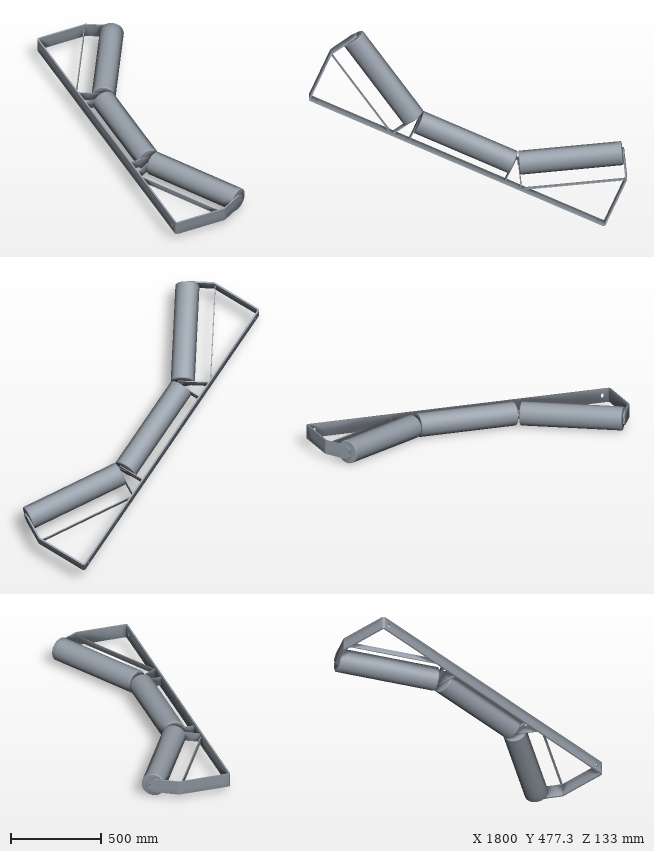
import cadquery as cq
import math

frame_length = 1800.0
frame_height = 80.0
plate = 9.0
thin_plate = 5.0
corner_radius = 15.0
lean_radius = 10.0
trough_angle = 30.0
roller_diameter = 133.0
roller_length = 572.0
roller_edge = 6.3
roller_gap = 2.0
center_axis_y = 125.0
side_roller_x = 569.0
side_roller_y = 279.0
tang_width = 16.0
tang_depth = 20.0
frame_tip = 27.0
tip_chamfer_length = 32.0
tip_chamfer_height = 18.0
hole_length = 27.0
hole_width = 18.0
hole_x = 853.0
bracket_top_y = 157.0
bracket_height = 50.0
brace_height = 30.0
brace_top_y = 292.0

half_length = frame_length / 2
angle = math.radians(trough_angle)
roller_radius = roller_diameter / 2
inner_face = roller_length / 2 + roller_gap
outer_face = inner_face + plate


def on_side_roller(along, across):
    """Point measured along the right side roller's axis (outwards) and across it (upwards)."""
    return (
        side_roller_x + along * math.cos(angle) - across * math.sin(angle),
        side_roller_y + along * math.sin(angle) + across * math.cos(angle),
    )


def plane_at_y(along, y):
    """Point at height y on the plane square to the right side roller's axis at `along`."""
    axis_x, axis_y = on_side_roller(along, 0)
    return (axis_x - (y - axis_y) * math.tan(angle), y)


def plane_at_x(along, x):
    """Point at position x on the plane square to the right side roller's axis at `along`."""
    axis_x, axis_y = on_side_roller(along, 0)
    return (x, axis_y + (axis_x - x) / math.tan(angle))


def mirrored(points):
    """The points reflected in the YZ plane, in reverse order."""
    return [(-x, y) for x, y in reversed(points)]


def prism(points, height):
    """Closed outline in the XY plane, extruded half the height above and half below Z = 0."""
    return cq.Workplane("XY").polyline(points).close().extrude(height / 2, both=True)


def round_bend(body, outer_corner, inner_corner, outer_radius):
    """Round both faces of a bend and of its mirror image, about a common center."""
    for corner, radius in ((outer_corner, outer_radius), (inner_corner, outer_radius - plate)):
        for x, y in [corner] + mirrored([corner]):
            body = body.edges(cq.NearestToPointSelector((x, y, 0))).fillet(radius)
    return body


def at_roller(body, side):
    """Move a body made around the X axis to the left (-1), center (0) or right (1) roller."""
    if side == 0:
        return body.translate((0, center_axis_y, 0))
    turned = body.rotate((0, 0, 0), (0, 0, 1), side * trough_angle)
    return turned.translate((side * side_roller_x, side_roller_y, 0))


def axle_slots(height):
    """Pair of open-topped slots for the flat axle ends of a roller along the X axis."""
    slot_x = inner_face + plate / 2
    slot_y = height / 2 - tang_depth / 2
    slots = cq.Workplane("XY").pushPoints([(-slot_x, slot_y), (slot_x, slot_y)])
    return slots.rect(2 * plate, height).extrude(tang_width / 2, both=True)


def tip_corners():
    """Corners to cut off the frame's tips, made for a side roller along the X axis."""
    edge_z = frame_height / 2
    corner = (
        cq.Workplane("YZ", origin=(-outer_face, 0, 0))
        .moveTo(frame_tip, edge_z)
        .lineTo(frame_tip - tip_chamfer_length, edge_z)
        .lineTo(frame_tip, edge_z - tip_chamfer_height)
        .close()
        .extrude(2 * outer_face)
    )
    return corner.union(corner.mirror("XY"))


def make_frame():
    """Base bar whose ends bend up into side plates that lean inwards to carry the side rollers."""
    outer_corner = (half_length, 0)
    inner_corner = (half_length - plate, plate)
    outer_lean = plane_at_x(outer_face, half_length)
    inner_lean = plane_at_x(inner_face, half_length - plate)
    right_side = [
        outer_corner,
        outer_lean,
        on_side_roller(outer_face, frame_tip),
        on_side_roller(inner_face, frame_tip),
        inner_lean,
        inner_corner,
    ]
    frame = prism(right_side + mirrored(right_side), frame_height)
    frame = round_bend(frame, outer_corner, inner_corner, corner_radius)
    frame = round_bend(frame, outer_lean, inner_lean, lean_radius)

    slots = axle_slots(roller_radius)
    corners = tip_corners()
    for side in (-1, 1):
        frame = frame.cut(at_roller(slots, side)).cut(at_roller(corners, side))

    holes = (
        cq.Workplane("XZ")
        .pushPoints([(-hole_x, 0), (hole_x, 0)])
        .slot2D(hole_length, hole_width, 90)
        .extrude(-plate)
    )
    return frame.cut(holes)


def make_bracket(side):
    """Folded sheet that carries the center roller on one leg and a side roller on the other."""
    leg_far_face = inner_face + thin_plate
    top_inside_y = bracket_top_y - thin_plate
    outline = [
        (inner_face, plate),
        (inner_face, bracket_top_y),
        plane_at_y(-inner_face, bracket_top_y),
        plane_at_y(-inner_face, plate),
        plane_at_y(-leg_far_face, plate),
        plane_at_y(-leg_far_face, top_inside_y),
        (leg_far_face, top_inside_y),
        (leg_far_face, plate),
    ]
    if side < 0:
        outline = mirrored(outline)
    bracket = prism(outline, bracket_height)
    for roller in (0, side):
        bracket = bracket.cut(at_roller(axle_slots(roller_radius), roller))
    return bracket


def make_brace(side):
    """Flat bar parallel to a side roller, between the base bar and a side plate."""
    inner_x = half_length - plate
    foot_x = inner_x - (brace_top_y - plate) / math.tan(angle)
    outline = [
        (foot_x, plate),
        (foot_x + thin_plate / math.sin(angle), plate),
        (inner_x, brace_top_y - thin_plate / math.cos(angle)),
        (inner_x, brace_top_y),
    ]
    if side < 0:
        outline = mirrored(outline)
    return prism(outline, brace_height)


def make_roller(side):
    """Roller with rounded ends and an axle whose flat ends reach through the carrying plates."""
    left_end = cq.Workplane("YZ", origin=(-roller_length / 2, 0, 0))
    roller = left_end.circle(roller_radius).extrude(roller_length)
    roller = roller.faces("<X or >X").edges().fillet(roller_edge)
    axle = cq.Workplane("YZ").rect(tang_depth, tang_width).extrude(outer_face, both=True)
    return at_roller(roller.union(axle), side)


frame = make_frame()
brackets = [make_bracket(side) for side in (-1, 1)]
braces = [make_brace(side) for side in (-1, 1)]
rollers = [make_roller(side) for side in (-1, 0, 1)]

bodies = [frame, *brackets, *braces, *rollers]
result = cq.Compound.makeCompound([body.val() for body in bodies])